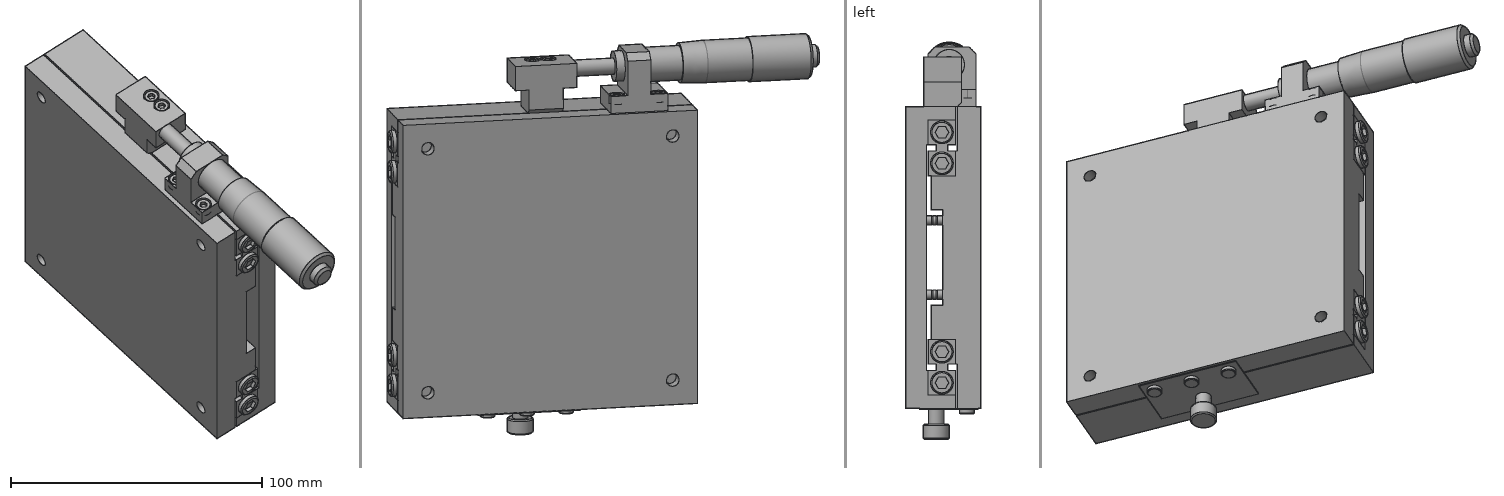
import cadquery as cq
import math


stage_side = 120.0
stage_depth = 30.0
half_side = stage_side / 2
half_depth = stage_depth / 2

slide_y = 0.5
rail_width = 11.0
rail_height = 10.0
cage_width = 4.7
cage_height = 2.5
flange_height = 5.2
running_gap = 0.61

outer_rail_top = half_side - flange_height
outer_rail_bottom = outer_rail_top - rail_height
inner_rail_top = outer_rail_bottom - cage_height
inner_rail_bottom = inner_rail_top - rail_height
rail_front = slide_y - rail_width / 2
rail_back = slide_y + rail_width / 2

rail_head_diameter = 9.0
rail_head_height = 2.1
rail_head_chamfer = 0.5
rail_hex_flats = 4.7
rail_hex_depth = 1.5

base_inner_face = rail_back + running_gap
wing_face = rail_front - running_gap
tongue_gap = 1.7
tongue_face = base_inner_face - tongue_gap
channel_half_height = 19.0
channel_face = 0.26
mount_hole_spacing = 99.9
mount_hole_diameter = 5.0
mount_hole_depth = 5.2

pin_spacing = 29.5
pin_diameter = 3.8
pin_groove_width = 0.61
pin_groove_depth = 0.2
pin_groove_positions = (2.35, 4.09)

block_length = 25.0
block_depth = 15.1
block_y = 0.26
block_head_height = 10.0
stem_length = 14.0
stem_height = 10.0
stem_chamfer = 1.7
block_screw_spacing = 6.5
block_screw_y = 3.3
block_top = half_side + stem_height + block_head_height

screw_recess_diameter = 6.3
screw_recess_depth = 3.5
screw_head_diameter = 5.2
screw_head_height = 3.1
screw_hex_flats = 2.6
screw_hex_depth = 1.5

bracket_x = 36.7
bracket_y = -3.5
bracket_depth = 19.1
foot_length = 23.3
foot_height = 7.0
upright_length = 9.4
bracket_height = 23.8
bracket_chamfer = 2.8
foot_screw_spacing = 17.0
foot_screw_y = -9.7
upright_start = bracket_x - upright_length / 2
upright_end = bracket_x + upright_length / 2

spindle_offset = 2.6
micrometer_y = block_y - spindle_offset
micrometer_z = 76.7
spindle_radius = 3.3
shank_radius = 6.1
shank_overhang = 3.5
barrel_radius = 7.0
barrel_end = 55.3
taper_start_radius = 8.0
taper_end = 65.2
sleeve_radius = 8.5
sleeve_end = 83.5
thimble_radius = 9.0
thimble_end = 108.2
thimble_chamfer_length = 1.0
thimble_chamfer_height = 0.9
ratchet_radius = 4.5
ratchet_end = 111.9
ratchet_chamfer_length = 1.0
ratchet_chamfer_height = 1.0

lock_x = -8.4
lock_plate_y = -2.3
lock_plate_length = 42.0
lock_plate_depth = 23.3
lock_plate_thickness = 0.5
lock_head_count = 3
lock_head_spacing = 16.0
lock_head_y = -9.4
lock_head_diameter = 6.0
lock_head_height = 1.7
lock_head_chamfer = 0.3
stud_y = 2.8
stud_diameter = 6.3
stud_length = 5.7
knob_diameter = 10.5
knob_height = 6.1
knob_chamfer = 0.5


def hexagon_diameter(across_flats):
    return across_flats / math.cos(math.pi / 6)


def box(length, depth, height, x, y, bottom):
    """Box centred on (x, y) and standing on the height `bottom`."""
    return cq.Workplane("XY", origin=(x, y, bottom)).box(length, depth, height, centered=(True, True, False))


def bar_along_x(half_outline):
    """Bar over the stage length, from an upper half outline of (y, z) points mirrored about z = 0."""
    return cq.Workplane("YZ").polyline(half_outline).mirrorX().extrude(half_side, both=True)


def recess_screw(body, x, y, top):
    """Sink a socket-head screw into the top face of a body, with a clear ring around its head."""
    recess_floor = top - screw_recess_depth
    recess = (
        cq.Workplane("XY", origin=(x, y, recess_floor))
        .circle(screw_recess_diameter / 2)
        .extrude(screw_recess_depth)
    )
    head = (
        cq.Workplane("XY", origin=(x, y, recess_floor))
        .circle(screw_head_diameter / 2)
        .extrude(screw_head_height)
        .faces(">Z")
        .workplane()
        .polygon(6, hexagon_diameter(screw_hex_flats))
        .cutBlind(-screw_hex_depth)
    )
    return body.cut(recess).union(head)


def make_base():
    return bar_along_x(
        [
            (half_depth, 0),
            (half_depth, half_side),
            (rail_front, half_side),
            (rail_front, outer_rail_top),
            (rail_back, outer_rail_top),
            (rail_back, outer_rail_bottom),
            (base_inner_face, outer_rail_bottom),
            (base_inner_face, 0),
        ]
    )


def make_stop_pin(z):
    """Grooved pin that spans the channel from the carriage to the inner face of the base."""
    pin = (
        cq.Workplane("XZ", origin=(0, channel_face, z))
        .circle(pin_diameter / 2)
        .extrude(channel_face - base_inner_face)
    )
    for position in pin_groove_positions:
        groove = (
            cq.Workplane("XZ", origin=(0, channel_face + position, z))
            .circle(pin_diameter / 2)
            .circle(pin_diameter / 2 - pin_groove_depth)
            .extrude(pin_groove_width / 2, both=True)
        )
        pin = pin.cut(groove)
    return pin


def make_carriage():
    carriage = bar_along_x(
        [
            (-half_depth, 0),
            (-half_depth, half_side),
            (wing_face, half_side),
            (wing_face, inner_rail_top),
            (rail_front, inner_rail_top),
            (rail_front, inner_rail_bottom),
            (tongue_face, inner_rail_bottom),
            (tongue_face, channel_half_height),
            (channel_face, channel_half_height),
            (channel_face, 0),
        ]
    )
    mount_holes = (
        cq.Workplane("XZ", origin=(0, -half_depth, 0))
        .rect(mount_hole_spacing, mount_hole_spacing, forConstruction=True)
        .vertices()
        .circle(mount_hole_diameter / 2)
        .extrude(-mount_hole_depth)
    )
    carriage = carriage.cut(mount_holes)
    for side in (1, -1):
        carriage = carriage.union(make_stop_pin(side * pin_spacing / 2))
    return carriage


def make_rail_head(z, x_side):
    """Hex-socket screw head on the end of a rail at the +X or -X side."""
    outer_end = half_side + rail_head_height
    head = (
        cq.Workplane("YZ", origin=(half_side, slide_y, z))
        .circle(rail_head_diameter / 2)
        .extrude(rail_head_height)
        .faces(">X")
        .chamfer(rail_head_chamfer)
    )
    socket = (
        cq.Workplane("YZ", origin=(outer_end, slide_y, z))
        .polygon(6, hexagon_diameter(rail_hex_flats))
        .extrude(-rail_hex_depth)
    )
    head = head.cut(socket)
    return head if x_side > 0 else head.mirror("YZ")


def make_slide_unit(z_side):
    """Outer rail, inner rail and roller cage, with a screw head at each rail end."""
    unit = box(stage_side, cage_width, cage_height, 0, slide_y, inner_rail_top)
    for bottom in (outer_rail_bottom, inner_rail_bottom):
        unit = unit.union(box(stage_side, rail_width, rail_height, 0, slide_y, bottom))
        for x_side in (1, -1):
            unit = unit.union(make_rail_head(bottom + rail_height / 2, x_side))
    unit = unit.clean()
    return unit if z_side > 0 else unit.mirror("XY")


def make_contact_block():
    stem = box(stem_length, block_depth, stem_height, 0, block_y, half_side)
    stem = stem.faces("<Y").edges("<Z").chamfer(stem_chamfer)
    head = box(block_length, block_depth, block_head_height, 0, block_y, half_side + stem_height)
    block = stem.union(head)
    for side in (1, -1):
        block = recess_screw(block, side * block_screw_spacing / 2, block_screw_y, block_top)
    return block


def make_bracket():
    foot = box(foot_length, bracket_depth, foot_height, bracket_x, bracket_y, half_side)
    for side in (1, -1):
        foot_screw_x = bracket_x + side * foot_screw_spacing / 2
        foot = recess_screw(foot, foot_screw_x, foot_screw_y, half_side + foot_height)
    upright = box(upright_length, bracket_depth, bracket_height, bracket_x, bracket_y, half_side)
    upright = upright.faces(">Z").edges("|X").chamfer(bracket_chamfer)
    bore = (
        cq.Workplane("YZ", origin=(upright_start, micrometer_y, micrometer_z))
        .circle(shank_radius)
        .extrude(upright_length)
    )
    return foot.union(upright).cut(bore)


def make_micrometer():
    spindle_start = block_length / 2
    shank_start = upright_start - shank_overhang
    thimble_shoulder = thimble_end - thimble_chamfer_length
    ratchet_shoulder = ratchet_end - ratchet_chamfer_length
    outline = [
        (spindle_start, 0),
        (spindle_start, spindle_radius),
        (shank_start, spindle_radius),
        (shank_start, shank_radius),
        (upright_end, shank_radius),
        (upright_end, barrel_radius),
        (barrel_end, barrel_radius),
        (barrel_end, taper_start_radius),
        (taper_end, sleeve_radius),
        (sleeve_end, sleeve_radius),
        (sleeve_end, thimble_radius),
        (thimble_shoulder, thimble_radius),
        (thimble_end, thimble_radius - thimble_chamfer_height),
        (thimble_end, ratchet_radius),
        (ratchet_shoulder, ratchet_radius),
        (ratchet_end, ratchet_radius - ratchet_chamfer_height),
        (ratchet_end, 0),
    ]
    return (
        cq.Workplane("XZ", origin=(0, micrometer_y, micrometer_z))
        .polyline(outline)
        .close()
        .revolve(360, (0, 0, 0), (1, 0, 0))
    )


def make_lock():
    """Clamp plate under the stage with a row of screw heads and a thumb screw."""
    plate_bottom = -half_side - lock_plate_thickness
    lock = box(
        lock_plate_length, lock_plate_depth, lock_plate_thickness, lock_x, lock_plate_y, plate_bottom
    )
    heads = (
        cq.Workplane("XY", origin=(lock_x, lock_head_y, plate_bottom))
        .rarray(lock_head_spacing, 1.7, lock_head_count, 1)
        .circle(lock_head_diameter / 2)
        .extrude(-lock_head_height)
        .faces("<Z")
        .chamfer(lock_head_chamfer)
    )
    stud = (
        cq.Workplane("XY", origin=(lock_x, stud_y, plate_bottom))
        .circle(stud_diameter / 2)
        .extrude(-stud_length)
    )
    knob = (
        cq.Workplane("XY", origin=(lock_x, stud_y, plate_bottom - stud_length))
        .circle(knob_diameter / 2)
        .extrude(-knob_height)
        .faces("<Z or >Z")
        .chamfer(knob_chamfer)
    )
    return lock.union(heads).union(stud).union(knob)


base = make_base()
carriage = make_carriage()
slide_units = [make_slide_unit(z_side) for z_side in (1, -1)]
contact_block = make_contact_block()
bracket = make_bracket()
micrometer = make_micrometer()
lock = make_lock()

result = cq.Compound.makeCompound(
    [
        base.val(),
        carriage.val(),
        *[unit.val() for unit in slide_units],
        contact_block.val(),
        bracket.val(),
        micrometer.val(),
        lock.val(),
    ]
)